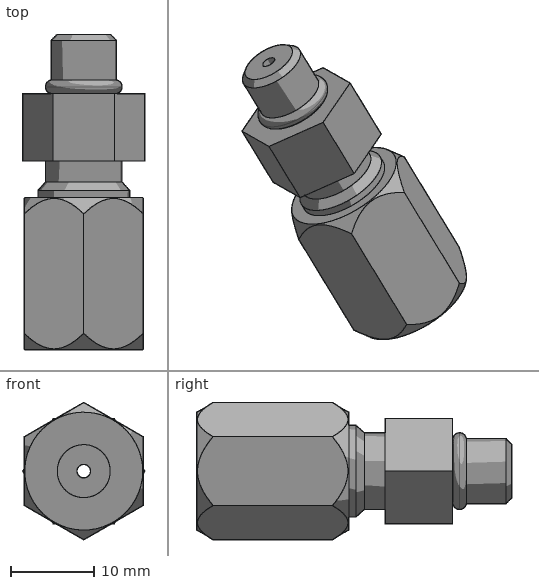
import cadquery as cq

total_length = 37.85
nut_end = 18.3
collar_rim_end = 19.1
collar_end = 20.15
body_hex_start = 22.65
body_hex_end = 30.75

nut_across_corners = 16.5
nut_face_radius = 7.08
nut_chamfer_length = 1.95

body_across_corners = 14.65
neck_radius = 4.6
collar_radius = 5.53
stem_radius = 3.95
stem_chamfer = 0.72

ring_section_radius = 0.85
ring_outer_radius = neck_radius

socket_radius = 3.18
bore_radius = 0.8


def hexagon(across_corners, start, end, turn):
    """Hexagonal bar along Y, turned about Y from having corners on X."""
    bar = cq.Workplane("XZ").polygon(6, across_corners).extrude(start - end)
    return bar.rotate((0, 0, 0), (0, 1, 0), turn).translate((0, start, 0))


def rod(radius, start, end):
    """Round bar along Y."""
    return cq.Workplane("XZ", origin=(0, start, 0)).circle(radius).extrude(start - end)


def turned(points):
    """Solid of revolution about Y from (radius, position) points."""
    return cq.Workplane("XY").polyline(points).close().revolve(360, (0, 0, 0), (0, 1, 0))


def make_nut():
    corner_radius = nut_across_corners / 2
    envelope = turned([
        (0, 0),
        (nut_face_radius, 0),
        (corner_radius, nut_chamfer_length),
        (corner_radius, nut_end - nut_chamfer_length),
        (nut_face_radius, nut_end),
        (0, nut_end),
    ])
    return hexagon(nut_across_corners, 0, nut_end, 90).intersect(envelope)


def make_shaft():
    return turned([
        (0, nut_end),
        (collar_radius, nut_end),
        (collar_radius, collar_rim_end),
        (neck_radius, collar_end),
        (neck_radius, body_hex_start),
        (stem_radius, body_hex_start),
        (stem_radius, total_length - stem_chamfer),
        (stem_radius - stem_chamfer, total_length),
        (0, total_length),
    ])


def make_ring():
    center_radius = ring_outer_radius - ring_section_radius
    center_y = body_hex_end + ring_section_radius
    section = cq.Workplane("XY").center(center_radius, center_y).circle(ring_section_radius)
    return section.revolve(360, (-center_radius, 0, 0), (-center_radius, 1, 0))


body_hex = hexagon(body_across_corners, body_hex_start, body_hex_end, 0)
fitting = make_nut().union(make_shaft()).union(body_hex).union(make_ring())
result = fitting.cut(rod(socket_radius, 0, nut_end)).cut(rod(bore_radius, 0, total_length))